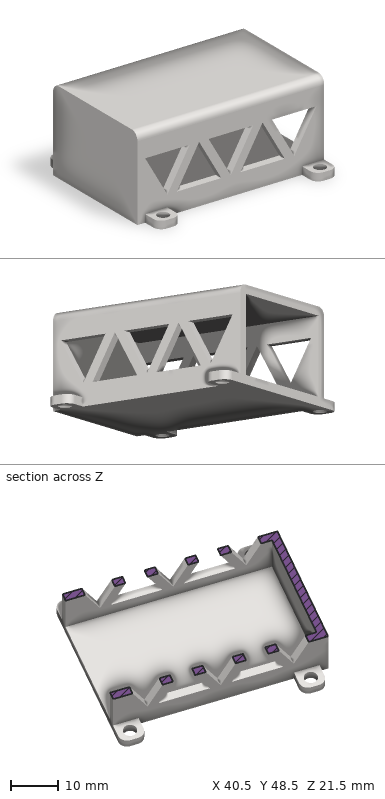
import cadquery as cq
import math

body_width = 30.5
body_length = 48.5
body_height = 21.5
top_edge_radius = 2.0
wall = 2.0

tab_reach = 5.0
tab_width = 5.75
tab_thickness = 2.0
tab_corner_radius = 2.0
tab_hole_diameter = 3.0
tab_hole_offset = tab_reach / 2
front_tab_setback = 2.0

window_count = 5
window_bottom = 5.0
window_height = 10.0
window_end_margin = 2.0
window_side = 2 * window_height / math.sqrt(3)
window_pitch = (body_length - 2 * window_end_margin - window_side) / (window_count - 1)

half_length = body_length / 2
tab_centers_y = (
    half_length - tab_width / 2,
    -half_length + front_tab_setback + tab_width / 2,
)


def make_shell():
    """Rounded box with a cavity that runs out through the +Y end."""
    outer = (
        cq.Workplane("XY")
        .box(body_width, body_length, body_height, centered=(True, True, False))
        .edges("|Y and >Z")
        .fillet(top_edge_radius)
    )
    cavity = (
        cq.Workplane("XY", origin=(0, wall / 2, wall))
        .box(
            body_width - 2 * wall,
            body_length - wall,
            body_height - 2 * wall,
            centered=(True, True, False),
        )
    )
    return outer.cut(cavity)


def make_window(index):
    """Triangular prism crossing both side walls."""
    center_y = (index - (window_count - 1) / 2) * window_pitch
    window_top = window_bottom + window_height
    points_down = index % 2 == 0
    base_z = window_top if points_down else window_bottom
    tip_z = window_bottom if points_down else window_top
    return (
        cq.Workplane("YZ")
        .moveTo(center_y - window_side / 2, base_z)
        .lineTo(center_y + window_side / 2, base_z)
        .lineTo(center_y, tip_z)
        .close()
        .extrude(body_width / 2, both=True)
    )


def make_tab(side, center_y):
    """Tab with a screw hole, rooted in the side wall; side is -1 or +1 along X."""
    root_length = tab_reach + wall
    tab_center_x = side * (body_width / 2 + tab_reach - root_length / 2)
    hole_x = side * (body_width / 2 + tab_hole_offset)
    outer_edges = "|Z and >X" if side > 0 else "|Z and <X"
    tab = (
        cq.Workplane("XY", origin=(tab_center_x, center_y, 0))
        .box(root_length, tab_width, tab_thickness, centered=(True, True, False))
        .edges(outer_edges)
        .fillet(tab_corner_radius)
    )
    hole = (
        cq.Workplane("XY", origin=(hole_x, center_y, 0))
        .circle(tab_hole_diameter / 2)
        .extrude(tab_thickness)
    )
    return tab.cut(hole)


result = make_shell()
for window_index in range(window_count):
    result = result.cut(make_window(window_index))
for tab_side in (-1, 1):
    for tab_y in tab_centers_y:
        result = result.union(make_tab(tab_side, tab_y))